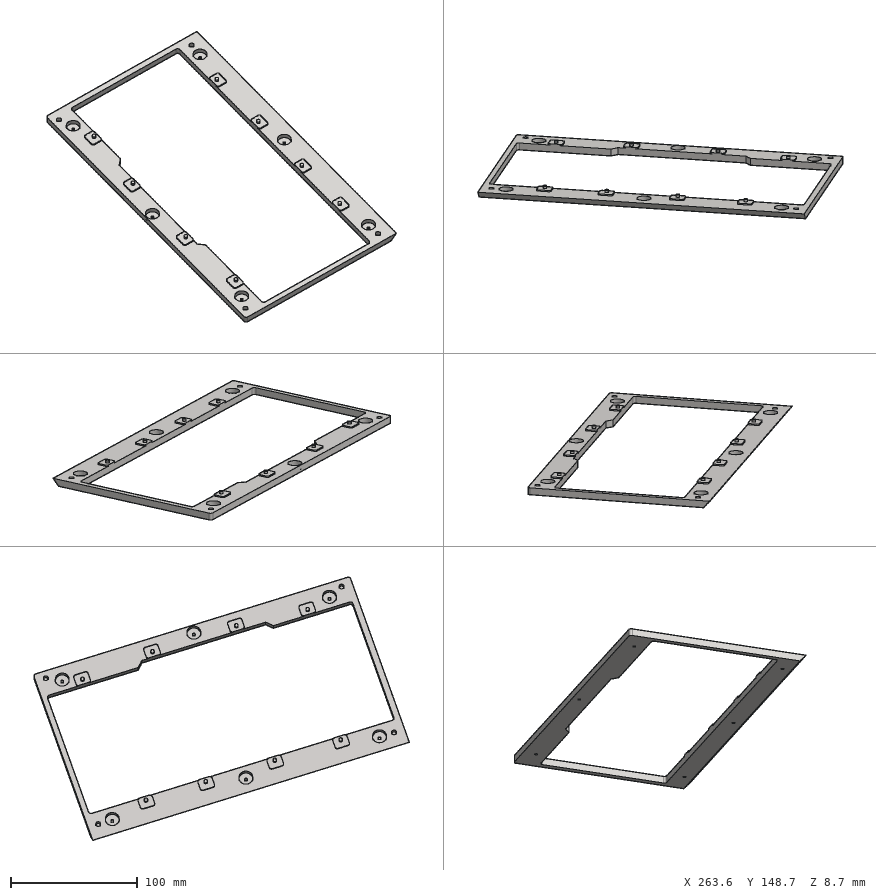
import cadquery as cq

LENGTH = 263.6
WIDTH = 148.7
TOTAL_HEIGHT = 8.7
PLATE_THICKNESS = 5.8
CORNER_RADIUS = 2.0
BEVEL = 5.3
PATTERN_X = 0.3

WINDOW_HALF_LENGTH = 127.0
WINDOW_REAR_Y = 52.2
WINDOW_FRONT_Y = -53.8
WINDOW_CORNER_RADIUS = 2.0
NOTCH_Y = -58.5
NOTCH_LEFT_X = -61.2
NOTCH_RIGHT_X = 51.5
NOTCH_DEPTH = WINDOW_FRONT_Y - NOTCH_Y

MOUNT_HOLE_DIAMETER = 4.0
MOUNT_HOLE_DEPTH = 4.0
MOUNT_HOLE_X = 123.0
MOUNT_HOLE_REAR_Y = 62.5
MOUNT_HOLE_FRONT_Y = -68.3

RECESS_DIAMETER = 11.0
RECESS_DEPTH = 4.0
PILOT_DIAMETER = 2.27
PILOT_DEPTH = 5.3
RECESS_X = 111.3
RECESS_REAR_Y = 62.0
RECESS_FRONT_Y = -63.0
RECESS_FRONT_MIDDLE_Y = -68.0

PAD_LENGTH = 11.9
PAD_WIDTH = 9.5
PAD_THICKNESS = 1.0
PAD_CORNER_RADIUS = 1.8
PIN_DIAMETER = 3.0
PIN_EDGE_DISTANCE = 3.7
REAR_PAD_X = [-80.7, -25.8, 31.6, 81.5]
FRONT_PAD_X = [-91.0, 96.5]
NOTCH_PAD_X = [-33.2, 36.6]


def make_plate():
    """Plate with an undercut rear edge and two rounded front corners."""
    half_width = WIDTH / 2
    profile = [
        (-half_width, 0),
        (half_width - BEVEL, 0),
        (half_width, PLATE_THICKNESS),
        (-half_width, PLATE_THICKNESS),
    ]
    plate = cq.Workplane("YZ").polyline(profile).close().extrude(LENGTH / 2, both=True)
    return plate.edges("|Z").edges("<Y").fillet(CORNER_RADIUS)


def make_window():
    """Rectangular opening with a shallow notch, sloped at both ends, in its front edge."""
    window_width = WINDOW_REAR_Y - WINDOW_FRONT_Y
    window = (
        cq.Workplane("XY")
        .center(PATTERN_X, (WINDOW_REAR_Y + WINDOW_FRONT_Y) / 2)
        .rect(2 * WINDOW_HALF_LENGTH, window_width)
        .extrude(PLATE_THICKNESS)
        .edges("|Z")
        .fillet(WINDOW_CORNER_RADIUS)
    )
    notch_outline = [
        (NOTCH_LEFT_X, WINDOW_FRONT_Y),
        (NOTCH_LEFT_X + NOTCH_DEPTH, NOTCH_Y),
        (NOTCH_RIGHT_X - NOTCH_DEPTH, NOTCH_Y),
        (NOTCH_RIGHT_X, WINDOW_FRONT_Y),
    ]
    notch = cq.Workplane("XY").polyline(notch_outline).close().extrude(PLATE_THICKNESS)
    return window.union(notch)


def make_pad(x, edge_y, side):
    """Pad and pin beside a window edge; side is +1 behind the edge and -1 in front of it."""
    pad = (
        cq.Workplane("XY")
        .workplane(offset=PLATE_THICKNESS)
        .center(x, edge_y + side * PAD_WIDTH / 2)
        .rect(PAD_LENGTH, PAD_WIDTH)
        .extrude(PAD_THICKNESS)
        .edges("|Z")
        .fillet(PAD_CORNER_RADIUS)
    )
    pin = (
        cq.Workplane("XY")
        .workplane(offset=PLATE_THICKNESS)
        .center(x, edge_y + side * PIN_EDGE_DISTANCE)
        .circle(PIN_DIAMETER / 2)
        .extrude(TOTAL_HEIGHT - PLATE_THICKNESS)
    )
    return pad.union(pin)


def drill(points, diameter, depth):
    """Blind holes that go down from the top face of the plate."""
    return (
        cq.Workplane("XY")
        .workplane(offset=PLATE_THICKNESS)
        .pushPoints(points)
        .circle(diameter / 2)
        .extrude(-depth)
    )


mount_points = []
recess_points = [(PATTERN_X, RECESS_REAR_Y), (PATTERN_X, RECESS_FRONT_MIDDLE_Y)]
for side in (-1, 1):
    mount_x = PATTERN_X + side * MOUNT_HOLE_X
    recess_x = PATTERN_X + side * RECESS_X
    mount_points += [(mount_x, MOUNT_HOLE_REAR_Y), (mount_x, MOUNT_HOLE_FRONT_Y)]
    recess_points += [(recess_x, RECESS_REAR_Y), (recess_x, RECESS_FRONT_Y)]

result = (
    make_plate()
    .cut(make_window())
    .cut(drill(mount_points, MOUNT_HOLE_DIAMETER, MOUNT_HOLE_DEPTH))
    .cut(drill(recess_points, RECESS_DIAMETER, RECESS_DEPTH))
    .cut(drill(recess_points, PILOT_DIAMETER, PILOT_DEPTH))
)

pad_rows = [
    (REAR_PAD_X, WINDOW_REAR_Y, 1),
    (FRONT_PAD_X, WINDOW_FRONT_Y, -1),
    (NOTCH_PAD_X, NOTCH_Y, -1),
]
for pad_x_positions, edge_y, pad_side in pad_rows:
    for x in pad_x_positions:
        result = result.union(make_pad(x, edge_y, pad_side))